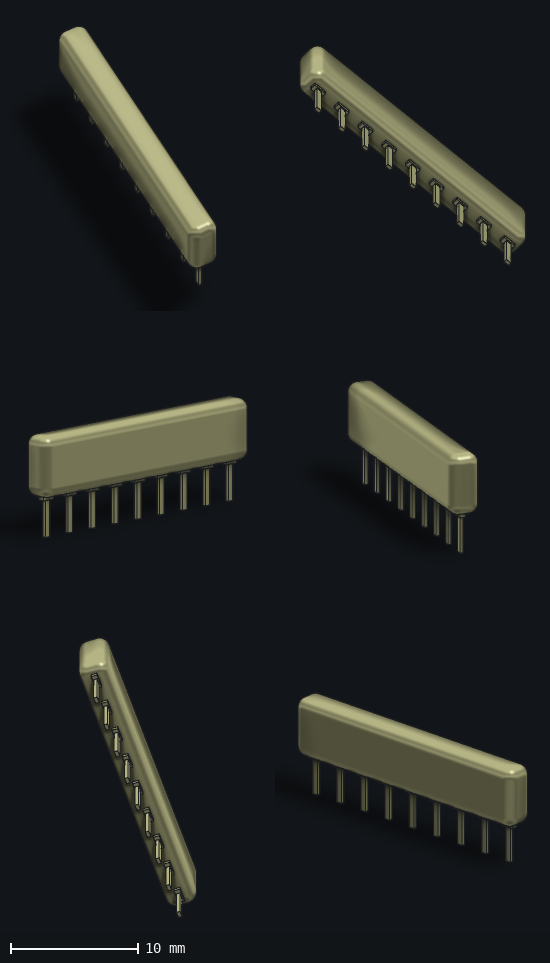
import cadquery as cq

body_length = 22.86
body_thickness = 2.5
body_height = 5.0
edge_radius = body_thickness / 3

lead_count = 9
lead_pitch = 2.54
lead_width = 0.5
lead_thickness = 0.3
lead_length = 3.3

shoulder_width = 1.14
shoulder_thickness = 0.5
shoulder_height = 0.3

embed_depth = 0.5


def make_body():
    """Bar standing on Z = 0 with every edge rounded."""
    bar = cq.Workplane("XY").box(
        body_length, body_thickness, body_height, centered=(True, True, False)
    )
    return bar.edges().fillet(edge_radius)


def hanging_block(x, width, thickness, depth):
    """Block at x that starts inside the body and ends depth below Z = 0."""
    return (
        cq.Workplane("XY", origin=(x, 0, -depth))
        .rect(width, thickness)
        .extrude(depth + embed_depth)
    )


def make_lead(x):
    """One lead at x: narrow pin below a wider shoulder."""
    pin = hanging_block(x, lead_width, lead_thickness, lead_length)
    shoulder = hanging_block(x, shoulder_width, shoulder_thickness, shoulder_height)
    return shoulder.union(pin)


result = make_body()
first_lead_x = -lead_pitch * (lead_count - 1) / 2
for index in range(lead_count):
    result = result.union(make_lead(first_lead_x + index * lead_pitch))